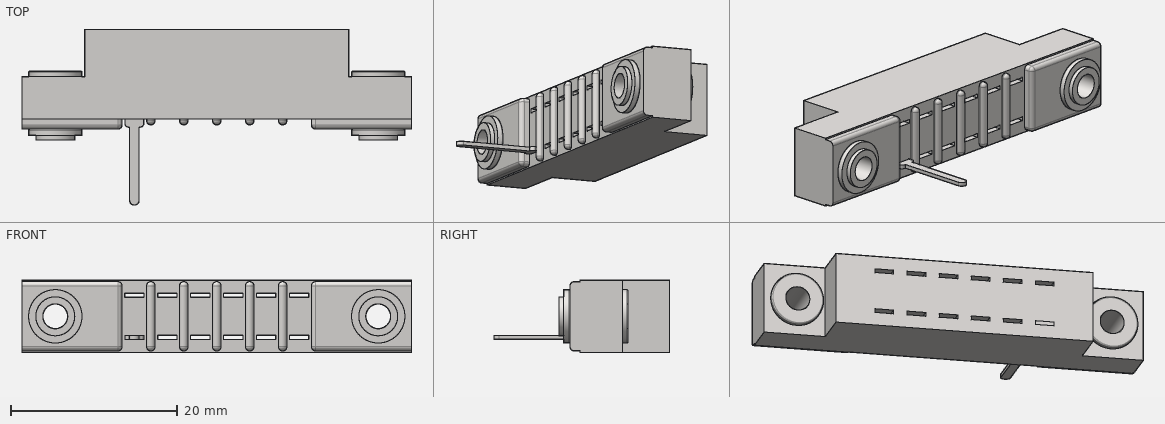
import cadquery as cq


LENGTH = 46.8
HEIGHT = 8.7
CENTRE_LENGTH = 31.72
HOUSING_DEPTH = 10.75
EAR_DEPTH = 5.1

RELIEF_INSET = 0.2
EDGE_RADIUS = 0.5
PAD_HEIGHT = 1.2
PAD_INNER_X = 11.35
RIB_HEIGHT = 0.7
RIB_WIDTH = 1.05

POSITIONS = 6
POSITION_SPAN = 19.8
PITCH = POSITION_SPAN / (POSITIONS - 1)
ROW_SPACING = 5.05
SLOT_WIDTH = 2.3
SLOT_HEIGHT = 0.45

CONTACT_REACH = 10.35
SHOULDER_REACH = 1.0
SHOULDER_RADIUS = 0.45
STEM_WIDTH = 1.15

EYELET_SPACING = 38.8
BORE_DIAMETER = 2.95
BARREL_DIAMETER = 4.7
FLANGE_DIAMETER = 6.4
FRONT_FLANGE_THICKNESS = 0.75
BACK_FLANGE_THICKNESS = 0.65
BARREL_REACH = 0.55
FLANGE_RADIUS = 0.15

RELIEF_HEIGHT = HEIGHT - 2 * RELIEF_INSET
PAD_LENGTH = LENGTH / 2 - PAD_INNER_X
POSITION_XS = [(i - (POSITIONS - 1) / 2) * PITCH for i in range(POSITIONS)]
RIB_XS = [x + PITCH / 2 for x in POSITION_XS[:-1]]
EYELET_XS = [-EYELET_SPACING / 2, EYELET_SPACING / 2]


def block(width, y_front, y_back, height):
    """Box centred on X and Z that spans the given Y range."""
    box = cq.Workplane("XY").box(width, y_back - y_front, height)
    return box.translate((0, (y_front + y_back) / 2, 0))


def rod(diameter, y_front, y_back):
    """Cylinder along Y through the origin."""
    circle = cq.Workplane("XZ", origin=(0, y_front, 0)).circle(diameter / 2)
    return circle.extrude(y_front - y_back)


def make_rib():
    """Rib between two positions, with a fully rounded crest and ball ends."""
    radius = RIB_WIDTH / 2
    crest_y = radius - RIB_HEIGHT
    end_z = RELIEF_HEIGHT / 2 - radius
    base = cq.Workplane("XZ").slot2D(RELIEF_HEIGHT, RIB_WIDTH, 90).extrude(-crest_y)
    crest = cq.Workplane("XY", origin=(0, crest_y, -end_z)).circle(radius).extrude(2 * end_z)
    rib = base.union(crest)
    for z in (-end_z, end_z):
        rib = rib.union(cq.Workplane("XY").sphere(radius).translate((0, crest_y, z)))
    return rib


def make_right_pad():
    """Pad under the right eyelet, rounded everywhere except at its outer end and its base."""
    pad = block(PAD_LENGTH, -PAD_HEIGHT, 0, RELIEF_HEIGHT)
    rounded_edges = pad.edges("<Y or <X").edges("not >X").edges("not >Y")
    pad = rounded_edges.fillet(EDGE_RADIUS)
    return pad.translate((PAD_INNER_X + PAD_LENGTH / 2, 0, 0))


def make_housing():
    ears = block(LENGTH, 0, EAR_DEPTH, HEIGHT)
    housing = ears.union(block(CENTRE_LENGTH, 0, HOUSING_DEPTH, HEIGHT))

    right_pad = make_right_pad()
    housing = housing.union(right_pad).union(right_pad.mirror("YZ"))

    for x in RIB_XS:
        housing = housing.union(make_rib().translate((x, 0, 0)))

    slot = block(SLOT_WIDTH, 0, HOUSING_DEPTH, SLOT_HEIGHT)
    for x in POSITION_XS:
        for z in (-ROW_SPACING / 2, ROW_SPACING / 2):
            housing = housing.cut(slot.translate((x, 0, z)))

    hole = rod(BARREL_DIAMETER, -PAD_HEIGHT, EAR_DEPTH)
    for x in EYELET_XS:
        housing = housing.cut(hole.translate((x, 0, 0)))
    return housing


def make_contact():
    """Flat contact that fills the first lower slot and reaches out to the front."""
    blade = block(SLOT_WIDTH, -SHOULDER_REACH, HOUSING_DEPTH, SLOT_HEIGHT)
    blade = blade.edges("|Z and <Y").fillet(SHOULDER_RADIUS)

    tip_y = STEM_WIDTH / 2 - CONTACT_REACH
    stem = block(STEM_WIDTH, tip_y, 0, SLOT_HEIGHT)
    tip = cq.Workplane("XY").cylinder(SLOT_HEIGHT, STEM_WIDTH / 2).translate((0, tip_y, 0))
    contact = blade.union(stem).union(tip)
    return contact.translate((POSITION_XS[0], 0, -ROW_SPACING / 2))


def make_flange(y_front, y_back):
    flange = rod(FLANGE_DIAMETER, y_front, y_back)
    return flange.edges(">Y").fillet(FLANGE_RADIUS)


def make_eyelet(x):
    """Tubular rivet through one ear, with a flange on each side."""
    front_y = -PAD_HEIGHT - FRONT_FLANGE_THICKNESS
    barrel_front_y = front_y - BARREL_REACH
    back_y = EAR_DEPTH + BACK_FLANGE_THICKNESS

    eyelet = rod(BARREL_DIAMETER, barrel_front_y, EAR_DEPTH)
    eyelet = eyelet.union(make_flange(front_y, -PAD_HEIGHT))
    eyelet = eyelet.union(make_flange(EAR_DEPTH, back_y))
    eyelet = eyelet.cut(rod(BORE_DIAMETER, barrel_front_y, back_y))
    return eyelet.translate((x, 0, 0))


housing = make_housing()
contact = make_contact()
eyelets = [make_eyelet(x) for x in EYELET_XS]

result = cq.Compound.makeCompound([housing.val(), contact.val(), *[eyelet.val() for eyelet in eyelets]])